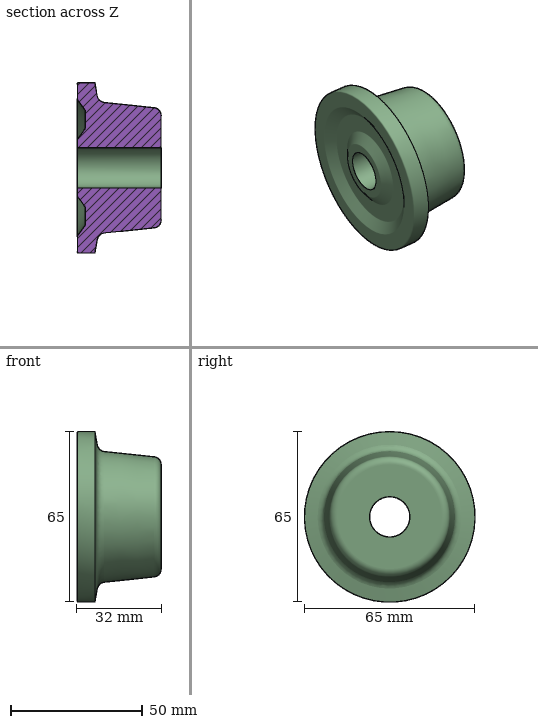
import cadquery as cq
import math

length = 32.0
flange_radius = 32.5
flange_rim_width = 6.75
flange_back_angle = math.radians(10)
hub_end_radius = 22.6
hub_taper_angle = math.radians(6)
bore_radius = 7.6
large_round = 3.0
small_round = 0.5

recess_depth = 3.0
recess_outer_radius = 26.0
recess_inner_radius = 10.9
recess_wall_run = 4.1

back_slope = math.tan(flange_back_angle)
taper_slope = math.tan(hub_taper_angle)
hub_radius_at_rim = hub_end_radius + (length - flange_rim_width) * taper_slope
hub_root_radius = (
    hub_radius_at_rim - flange_radius * back_slope * taper_slope
) / (1 - back_slope * taper_slope)
hub_root_x = flange_rim_width + (flange_radius - hub_root_radius) * back_slope


def revolve_about_x(profile):
    """Turn a closed (x, radius) profile about the X axis."""
    return (
        cq.Workplane("XZ").polyline(profile).close()
        .revolve(360, (0, 0, 0), (1, 0, 0))
    )


def round_circle(body, x, radius, round_radius):
    """Round the circular edge found at the given position and radius."""
    tolerance = 0.03
    edges = [
        edge for edge in body.edges("%CIRCLE").vals()
        if abs(edge.Center().x - x) < tolerance and abs(edge.radius() - radius) < tolerance
    ]
    return body.newObject(edges).fillet(round_radius)


body = revolve_about_x([
    (0, bore_radius),
    (0, flange_radius),
    (flange_rim_width, flange_radius),
    (hub_root_x, hub_root_radius),
    (length, hub_end_radius),
    (length, bore_radius),
])

floor_outer_radius = recess_outer_radius - recess_wall_run
floor_inner_radius = recess_inner_radius + recess_wall_run
recess = revolve_about_x([
    (0, recess_inner_radius),
    (recess_depth, floor_inner_radius),
    (recess_depth, floor_outer_radius),
    (0, recess_outer_radius),
])
body = body.cut(recess)

rounded_edges = [
    (hub_root_x, hub_root_radius, large_round),
    (length, hub_end_radius, large_round),
    (0, flange_radius, small_round),
    (0, recess_outer_radius, small_round),
    (0, recess_inner_radius, small_round),
    (recess_depth, floor_outer_radius, small_round),
    (recess_depth, floor_inner_radius, small_round),
]
for edge_x, edge_radius, round_radius in rounded_edges:
    body = round_circle(body, edge_x, edge_radius, round_radius)

result = body